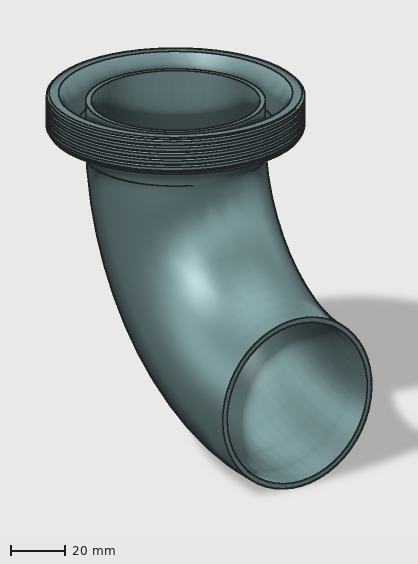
import cadquery as cq
import math

pipe_outer_radius = 33.0
pipe_wall = 2.0
pipe_bore_radius = pipe_outer_radius - pipe_wall
bend_radius = 80.0
overall_height = 129.66
bend_start_z = bend_radius + pipe_outer_radius - overall_height

flange_radius = 47.5
flange_rim_height = 14.5
top_chamfer = 1.0
bottom_chamfer_width = 1.2
bottom_chamfer_height = 1.8
collar_radius = 33.5
flange_inner_radius = pipe_outer_radius - pipe_wall / 2
collar_top_z = -17.6
collar_bottom_z = -24.0

cup_rim_radius = 43.0
cup_taper_angle = 30.0
cup_depth = 12.0
cup_floor_radius = cup_rim_radius - cup_depth * math.tan(math.radians(cup_taper_angle))
pipe_end_z = -3.0

thread_pitch = 2.5
thread_groove_width = 1.25
thread_groove_depth = 0.8
thread_bottom_z = -13.625
thread_turns = 5.35
thread_start_angle = -90.0


def make_pipe_core(radius):
    """Solid of the given radius along the pipe: straight from the pipe end, then the bend."""
    centreline = (
        cq.Workplane("XZ")
        .moveTo(0, pipe_end_z)
        .lineTo(0, bend_start_z)
        .radiusArc((bend_radius, bend_start_z - bend_radius), -bend_radius)
    )
    return cq.Workplane("XY", origin=(0, 0, pipe_end_z)).circle(radius).sweep(centreline)


def make_flange():
    """Flange with its collar and tapered cup, revolved about Z."""
    rim_bottom_z = -flange_rim_height
    profile = [
        (flange_inner_radius, -cup_depth),
        (cup_floor_radius, -cup_depth),
        (cup_rim_radius, 0),
        (flange_radius - top_chamfer, 0),
        (flange_radius, -top_chamfer),
        (flange_radius, rim_bottom_z + bottom_chamfer_height),
        (flange_radius - bottom_chamfer_width, rim_bottom_z),
        (collar_radius, collar_top_z),
        (collar_radius, collar_bottom_z),
        (flange_inner_radius, collar_bottom_z),
    ]
    return cq.Workplane("XZ").polyline(profile).close().revolve(360, (0, 0), (0, 1))


def make_thread_groove():
    """Helical V cutter, running out at the bottom and top chamfers."""
    overshoot = 0.2
    half_width = thread_groove_width / 2 * (1 + overshoot / thread_groove_depth)
    path = cq.Wire.makeHelix(
        thread_pitch,
        thread_pitch * thread_turns,
        flange_radius,
        center=cq.Vector(0, 0, thread_bottom_z),
    )
    return (
        cq.Workplane("XZ", origin=(0, 0, thread_bottom_z))
        .moveTo(flange_radius - thread_groove_depth, 0)
        .lineTo(flange_radius + overshoot, -half_width)
        .lineTo(flange_radius + overshoot, half_width)
        .close()
        .sweep(cq.Workplane(obj=path), isFrenet=True)
        .rotate((0, 0, 0), (0, 0, 1), thread_start_angle)
    )


flange = make_flange().cut(make_thread_groove())
pipe = make_pipe_core(pipe_outer_radius).cut(make_pipe_core(pipe_bore_radius))
result = flange.union(pipe)